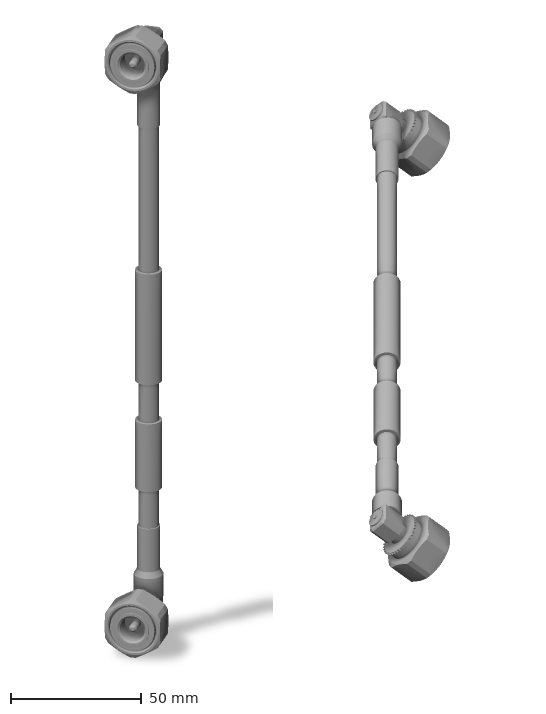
import cadquery as cq


LENGTH = 258.5

NUT_ACROSS_FLATS = 22.0
NUT_ACROSS_CORNERS = 24.0
NUT_BACK_Y = -10.9
NUT_FRONT_Y = -23.0
CONE_LENGTH = 0.9
CONE_END_RADIUS = 10.5
CONE_MARGIN = 0.3
BORE_RADIUS = 9.3
BORE_CHAMFER = 0.5
BORE_DEPTH = 2.0

COLLAR_RADIUS = 8.3
COLLAR_BACK_Y = -6.5
TOOTH_COUNT = 36
TOOTH_TIP_RADIUS = 9.0
TOOTH_WIDTH = 0.3
TOOTH_LENGTH = 0.8
TOOTH_SINK = 0.3

FLANGE_RADIUS = 8.8
TUBE_OUTER_RADIUS = 6.7
TUBE_INNER_RADIUS = 5.0
TUBE_CHAMFER = 0.8
TUBE_FRONT_Y = NUT_FRONT_Y - 0.5
SOCKET_DEPTH = 7.8
PIN_RADIUS = 1.5
PIN_CHAMFER = 0.8
PIN_SETBACK = 0.8

BLOCK_WIDTH = 8.8
BLOCK_HEIGHT = 9.8
BLOCK_CHAMFER = 1.5
BLOCK_BACK_Y = 5.5
BLOCK_FRONT_Y = -4.0
BLOCK_BACK_CHAMFER = 0.65
CAP_RADIUS = 3.5
CAP_THICKNESS = 0.65
NUB_RADIUS = 0.8
NUB_THICKNESS = 0.65
NECK_RADIUS = 4.1
BARREL_RADIUS = 5.7
BARREL_TAPER_LENGTH = 2.3

PLUG_Z = (LENGTH - NUT_ACROSS_CORNERS) / 2
CABLE_RADIUS = 4.0
CABLE_END_Z = 101.0
BOOT_RADIUS = 4.5
BOOT_LENGTH = 17.8
SLEEVE_RADIUS = 5.2
LONG_SLEEVE_SPAN = (-23.0, 23.0)
SHORT_SLEEVE_SPAN = (-67.5, -39.3)


def y_cylinder(radius, back_y, front_y):
    """Cylinder about the Y axis running from back_y toward -Y as far as front_y."""
    return cq.Workplane("XZ", origin=(0, back_y, 0)).circle(radius).extrude(back_y - front_y)


def z_cylinder(radius, low_z, high_z):
    """Cylinder about the Z axis between two heights."""
    return cq.Workplane("XY", origin=(0, 0, low_z)).circle(radius).extrude(high_z - low_z)


def make_elbow():
    """Block with a barrel toward the cable, a cap at the rear and a neck toward the nut."""
    block = (
        cq.Workplane("XZ", origin=(0, BLOCK_BACK_Y, 0))
        .rect(BLOCK_WIDTH, BLOCK_HEIGHT)
        .extrude(BLOCK_BACK_Y - BLOCK_FRONT_Y)
        .edges("|Y and >Z")
        .chamfer(BLOCK_CHAMFER)
        .faces(">Y")
        .chamfer(BLOCK_BACK_CHAMFER)
    )
    barrel = (
        z_cylinder(BARREL_RADIUS, CABLE_END_Z - PLUG_Z, -BLOCK_HEIGHT / 2)
        .faces("<Z")
        .chamfer(BARREL_TAPER_LENGTH, BARREL_RADIUS - BOOT_RADIUS)
    )
    cap_back_y = BLOCK_BACK_Y + CAP_THICKNESS
    cap = y_cylinder(CAP_RADIUS, cap_back_y, BLOCK_BACK_Y)
    nub = y_cylinder(NUB_RADIUS, cap_back_y + NUB_THICKNESS, cap_back_y)
    neck = y_cylinder(NECK_RADIUS, BLOCK_FRONT_Y, COLLAR_BACK_Y)
    return block.union(barrel).union(cap).union(nub).union(neck)


def make_collar():
    """Round collar with a ring of thin knurl teeth at its rear end."""
    collar = y_cylinder(COLLAR_RADIUS, COLLAR_BACK_Y, NUT_BACK_Y)
    root_radius = COLLAR_RADIUS - TOOTH_SINK
    tooth = (
        cq.Workplane("XY", origin=(0, COLLAR_BACK_Y - TOOTH_LENGTH / 2, root_radius))
        .rect(TOOTH_WIDTH, TOOTH_LENGTH)
        .extrude(TOOTH_TIP_RADIUS - root_radius)
    )
    for i in range(TOOTH_COUNT):
        collar = collar.union(tooth.rotate((0, 0, 0), (0, 1, 0), i * 360 / TOOTH_COUNT))
    return collar


def make_nut():
    """Hexagon with flats at +X and -X, cut corners, coned ends and an open bore."""
    length = NUT_BACK_Y - NUT_FRONT_Y
    plane = cq.Workplane("XZ", origin=(0, NUT_BACK_Y, 0))
    flats = plane.polygon(6, NUT_ACROSS_FLATS, circumscribed=True).extrude(length)
    corners = plane.polygon(6, NUT_ACROSS_CORNERS, circumscribed=True).extrude(length)
    corners = corners.rotate((0, 0, 0), (0, 1, 0), 30)
    cones = (
        y_cylinder(NUT_ACROSS_CORNERS / 2 + CONE_MARGIN, NUT_BACK_Y, NUT_FRONT_Y)
        .faces("<Y or >Y")
        .chamfer(CONE_LENGTH, NUT_ACROSS_CORNERS / 2 + CONE_MARGIN - CONE_END_RADIUS)
    )
    bore = y_cylinder(BORE_RADIUS, NUT_FRONT_Y + BORE_DEPTH, NUT_FRONT_Y)
    lead_in = (
        cq.Workplane("XZ", origin=(0, NUT_FRONT_Y, 0))
        .circle(BORE_RADIUS + BORE_CHAMFER)
        .extrude(-BORE_CHAMFER, taper=45)
    )
    return flats.intersect(corners).intersect(cones).cut(bore).cut(lead_in)


def make_contacts():
    """Flange ring with a raised tube, both standing on the floor of the nut's bore."""
    floor_y = NUT_FRONT_Y + BORE_DEPTH
    flange = y_cylinder(FLANGE_RADIUS, floor_y, NUT_FRONT_Y)
    tube = y_cylinder(TUBE_OUTER_RADIUS, floor_y, TUBE_FRONT_Y)
    return flange.union(tube)


def make_plug():
    """Right-angle plug whose cable leaves toward -Z."""
    socket_floor_y = TUBE_FRONT_Y + SOCKET_DEPTH
    socket = y_cylinder(TUBE_INNER_RADIUS, socket_floor_y, TUBE_FRONT_Y)
    pin = y_cylinder(PIN_RADIUS, socket_floor_y, TUBE_FRONT_Y + PIN_SETBACK).faces("<Y").chamfer(PIN_CHAMFER)
    plug = make_elbow().union(make_collar()).union(make_nut()).union(make_contacts()).cut(socket)
    return plug.faces("<Y").edges(cq.selectors.RadiusNthSelector(0)).chamfer(TUBE_CHAMFER).union(pin)


def make_tube(radius, low_z, high_z):
    """Tube fitted closely around the cable."""
    return z_cylinder(radius, low_z, high_z).cut(z_cylinder(CABLE_RADIUS, low_z, high_z))


cable = z_cylinder(CABLE_RADIUS, -CABLE_END_Z, CABLE_END_Z)
sleeves = [make_tube(SLEEVE_RADIUS, low, high) for low, high in (LONG_SLEEVE_SPAN, SHORT_SLEEVE_SPAN)]
boot = make_tube(BOOT_RADIUS, CABLE_END_Z - BOOT_LENGTH, CABLE_END_Z)
plug = make_plug().translate((0, 0, PLUG_Z))
boots = [boot, boot.mirror("XY")]
plugs = [plug, plug.mirror("XY")]

bodies = [cable, *sleeves, *boots, *plugs]
result = cq.Compound.makeCompound([body.val() for body in bodies])